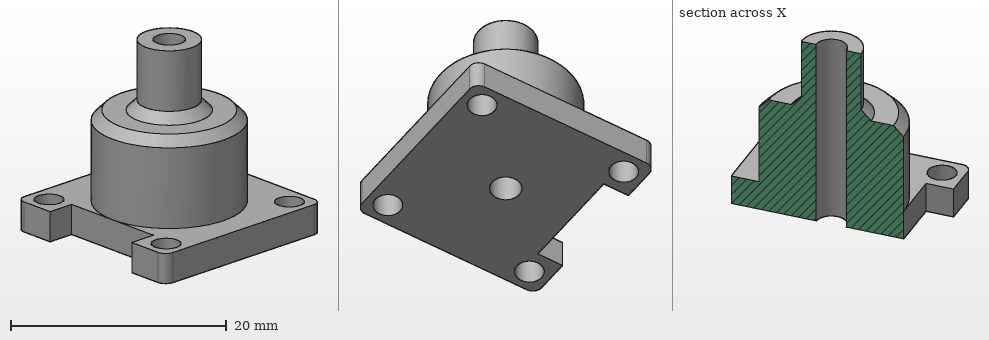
import cadquery as cq

flange_side = 20.0
flange_thickness = 3.0
corner_radius = 1.0
screw_hole_diameter = 2.75
screw_hole_spacing = 15.75

body_diameter = 14.5
body_top = 12.0
bevel = 1.0
spout_diameter = 6.0
total_height = 19.0
bore_diameter = 3.0

notch_width = 11.0
notch_depth = (flange_side - body_diameter) / 2


def make_flange():
    """Rounded square plate with four screw holes and an edge notch."""
    plate = (
        cq.Workplane("XY")
        .rect(flange_side, flange_side)
        .extrude(flange_thickness)
        .edges("|Z")
        .fillet(corner_radius)
    )
    screw_holes = (
        cq.Workplane("XY")
        .rect(screw_hole_spacing, screw_hole_spacing, forConstruction=True)
        .vertices()
        .circle(screw_hole_diameter / 2)
        .extrude(flange_thickness)
    )
    notch = (
        cq.Workplane("XY")
        .center(0, (notch_depth - flange_side) / 2)
        .rect(notch_width, notch_depth)
        .extrude(flange_thickness)
    )
    return plate.cut(screw_holes).cut(notch)


def make_body():
    """Body and spout, revolved about Z from a half profile."""
    body_radius = body_diameter / 2
    spout_radius = spout_diameter / 2
    return (
        cq.Workplane("XZ")
        .polyline([
            (0, 0),
            (body_radius, 0),
            (body_radius, body_top - bevel),
            (body_radius - bevel, body_top),
            (spout_radius + bevel, body_top),
            (spout_radius, body_top + bevel),
            (spout_radius, total_height),
            (0, total_height),
        ])
        .close()
        .revolve(360, (0, 0), (0, 1))
    )


bore = cq.Workplane("XY").circle(bore_diameter / 2).extrude(total_height)

result = make_flange().union(make_body()).cut(bore)